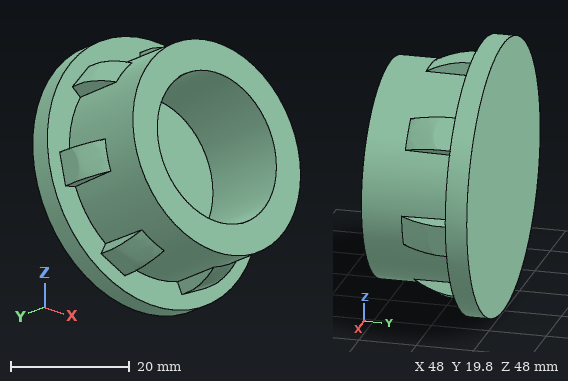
import cadquery as cq

flange_diameter = 48.0
flange_thickness = 3.75
total_length = 19.75
barrel_diameter = 38.0
bore_diameter = 27.0

rib_count = 7
rib_width = 5.95
rib_length = 9.0
rib_top_radius = 21.05
rib_draft = 1.0

ramp_start = 2.5
ramp_start_radius = 21.25
ramp_middle = 5.9
ramp_middle_radius = 20.45

barrel_length = total_length - flange_thickness
barrel_radius = barrel_diameter / 2
bore_radius = bore_diameter / 2


def cylinder_forward(diameter, length):
    """Cylinder from the front face of the flange (Y = 0); positive lengths run towards -Y."""
    return cq.Workplane("XZ").circle(diameter / 2).extrude(length)


def make_flange():
    return cylinder_forward(flange_diameter, -flange_thickness)


def make_rib_blank():
    """Drafted block at +Z, rooted in the barrel wall and standing on the flange."""
    root_radius = (barrel_radius + bore_radius) / 2
    return (
        cq.Workplane("XZ")
        .center(0, (root_radius + rib_top_radius) / 2)
        .rect(rib_width, rib_top_radius - root_radius)
        .extrude(rib_length, taper=rib_draft)
    )


def make_ramp_envelope():
    """Turned body that rounds the ribs down to the barrel surface."""
    outer_radius = flange_diameter / 2
    return (
        cq.Workplane("XY")
        .lineTo(outer_radius, 0)
        .lineTo(outer_radius, -ramp_start)
        .lineTo(ramp_start_radius, -ramp_start)
        .threePointArc((ramp_middle_radius, -ramp_middle), (barrel_radius, -rib_length))
        .lineTo(0, -rib_length)
        .close()
        .revolve(360, (0, 0, 0), (0, 1, 0))
    )


def make_rib():
    return make_rib_blank().intersect(make_ramp_envelope())


def make_bore():
    """Blind bore through the barrel; the flange closes its back end."""
    return cylinder_forward(bore_diameter, barrel_length)


result = make_flange().union(cylinder_forward(barrel_diameter, barrel_length))
rib = make_rib()
for index in range(rib_count):
    angle = index * 360 / rib_count
    result = result.union(rib.rotate((0, 0, 0), (0, 1, 0), angle))
result = result.cut(make_bore())